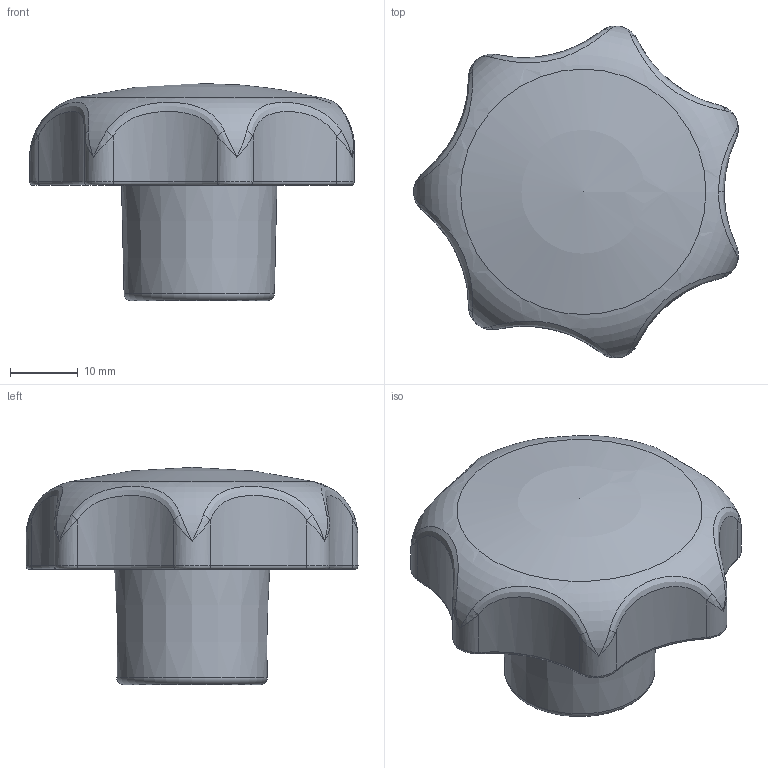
import cadquery as cq
import math

total_height = 32.0
head_base_z = 17.0

lobe_count = 7
head_radius = 25.0
dome_radius = 78.0
shoulder_radius = 9.0
tip_radius = 3.5
valley_radius = 20.78
flute_edge_fillet = 1.5
base_edge_fillet = 0.5

hub_top_radius = 11.45
hub_base_radius = 11.05
hub_edge_fillet = 1.0

lobe_pitch = 2 * math.pi / lobe_count
first_tip_angle = math.pi / lobe_count


def polar(radius, angle):
    return (radius * math.cos(angle), radius * math.sin(angle))


def domed_blank():
    """Round head: spherical dome running tangent through a shoulder arc into the rim."""
    dome_center_z = total_height - dome_radius
    shoulder_center_r = head_radius - shoulder_radius
    lean = math.asin(shoulder_center_r / (dome_radius - shoulder_radius))
    shoulder_center_z = dome_center_z + (dome_radius - shoulder_radius) * math.cos(lean)

    def dome_point(angle):
        return (dome_radius * math.sin(angle), dome_center_z + dome_radius * math.cos(angle))

    def shoulder_point(angle):
        return (
            shoulder_center_r + shoulder_radius * math.sin(angle),
            shoulder_center_z + shoulder_radius * math.cos(angle),
        )

    right_angle = math.pi / 2
    return (
        cq.Workplane("XZ")
        .moveTo(0, head_base_z)
        .lineTo(head_radius, head_base_z)
        .lineTo(*shoulder_point(right_angle))
        .threePointArc(shoulder_point((lean + right_angle) / 2), shoulder_point(lean))
        .threePointArc(dome_point(lean / 2), (0, total_height))
        .close()
        .revolve(360, (0, 0), (0, 1))
    )


def star_prism():
    """Seven rounded tips joined by concave flutes, each arc tangent to the next."""
    tip_center_r = head_radius - tip_radius
    half_pitch = lobe_pitch / 2
    along = tip_center_r * math.cos(half_pitch)
    across = tip_center_r * math.sin(half_pitch)
    inset = valley_radius - along
    flute_radius = (inset**2 + across**2 - tip_radius**2) / (2 * (tip_radius - inset))
    flute_center_r = valley_radius + flute_radius
    touch_share = tip_radius / (tip_radius + flute_radius)

    def touch_point(tip_angle, side):
        tip_x, tip_y = polar(tip_center_r, tip_angle)
        flute_x, flute_y = polar(flute_center_r, tip_angle + side * half_pitch)
        return (tip_x + touch_share * (flute_x - tip_x), tip_y + touch_share * (flute_y - tip_y))

    outline = cq.Workplane("XY").workplane(offset=head_base_z).moveTo(*touch_point(first_tip_angle, -1))
    for lobe in range(lobe_count):
        tip_angle = first_tip_angle + lobe * lobe_pitch
        outline = outline.threePointArc(polar(head_radius, tip_angle), touch_point(tip_angle, 1))
        outline = outline.threePointArc(
            polar(valley_radius, tip_angle + half_pitch), touch_point(tip_angle + lobe_pitch, -1)
        )
    return outline.close().extrude(total_height - head_base_z)


def head():
    """Domed star head with rounded flute tops and a small round around its underside."""
    lobed = domed_blank().intersect(star_prism())
    softened = lobed.edges("%BSPLINE").fillet(flute_edge_fillet)
    return softened.faces("<Z").edges().fillet(base_edge_fillet)


def hub():
    """Hub widening slightly towards the head, with a rounded lower edge."""
    return (
        cq.Workplane("XY")
        .circle(hub_base_radius)
        .workplane(offset=head_base_z)
        .circle(hub_top_radius)
        .loft()
        .faces("<Z")
        .edges()
        .fillet(hub_edge_fillet)
    )


knob = head().union(hub())

result = cq.Compound.makeCompound([knob.val()])